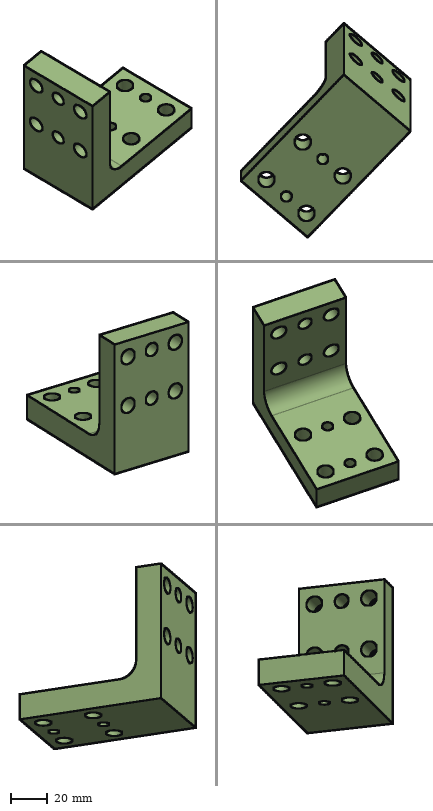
import cadquery as cq

width = 50.0
depth = 85.0
height = 80.0
thickness = 15.0
inner_radius = 10.0

edge_distance = 10.0
row_spacing = 30.0
large_diameter = 9.0
wall_column_spacing = 16.0
wall_small_diameter = 8.0
base_column_spacing = 15.0
base_small_diameter = 6.0


def make_bracket():
    """L-shaped body, centred on X, with the outer wall face at Y = 0 and the underside at Z = 0."""
    return (
        cq.Workplane("YZ")
        .moveTo(0, 0)
        .lineTo(depth, 0)
        .lineTo(depth, thickness)
        .lineTo(thickness + inner_radius, thickness)
        .radiusArc((thickness, thickness + inner_radius), inner_radius)
        .lineTo(thickness, height)
        .lineTo(0, height)
        .close()
        .extrude(width / 2, both=True)
    )


def hole_pins(plane, far_edge, column_spacing, small_diameter, length):
    """Cylinders for one hole pattern, with rows measured back from the far edge of the leg."""
    rows = [far_edge - edge_distance, far_edge - edge_distance - row_spacing]
    large_points = [(side * column_spacing, row) for side in (-1, 1) for row in rows]
    small_points = [(0, row) for row in rows]
    large_pins = cq.Workplane(plane).pushPoints(large_points).circle(large_diameter / 2).extrude(length)
    small_pins = cq.Workplane(plane).pushPoints(small_points).circle(small_diameter / 2).extrude(length)
    return large_pins.union(small_pins)


wall_pins = hole_pins("XZ", height, wall_column_spacing, wall_small_diameter, -thickness)
base_pins = hole_pins("XY", depth, base_column_spacing, base_small_diameter, thickness)

result = make_bracket().cut(wall_pins).cut(base_pins)